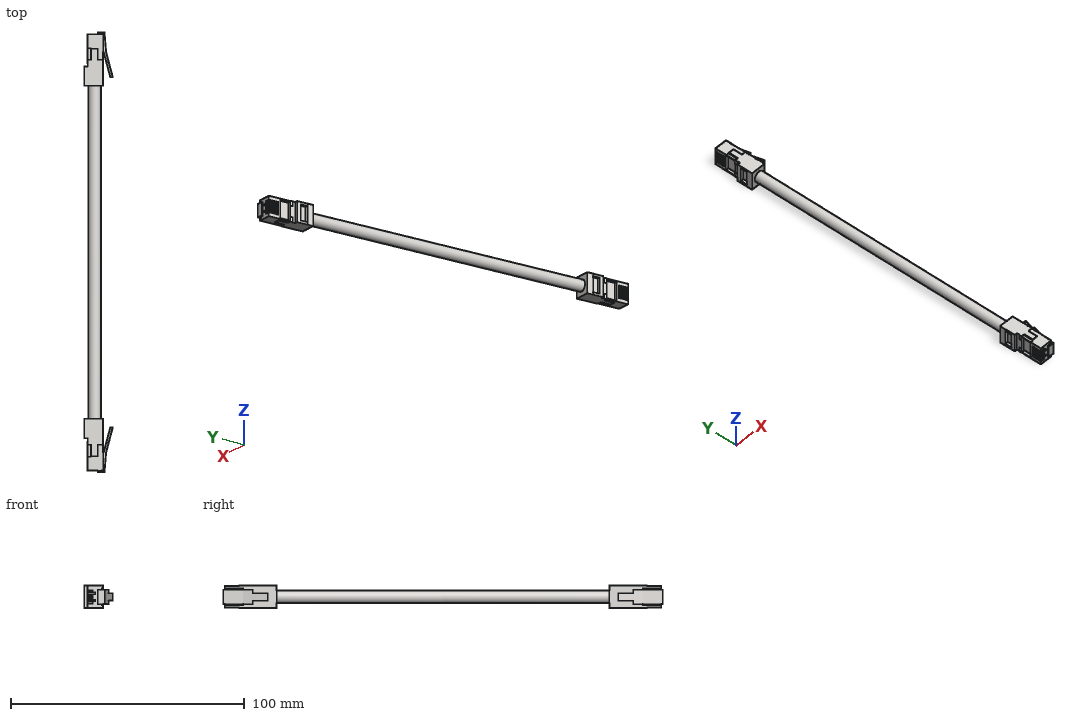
import cadquery as cq


cable_diameter = 5.5

tip_y = 94.08
front_y = 93.4
slot_rear_y = 88.6
clamp_front_y = 87.4
tongue_y = 87.2
sleeve_y = 82.3
groove_front_y = 81.0
hood_front_y = 79.6
window_front_y = 77.6
window_rear_y = 74.2
rear_y = 71.2

height = 9.68
hood_x = -4.5
front_x = -3.15
latch_face_x = 3.6
sleeve_step = 0.15
groove_depth = 0.15
hood_relief = 0.05

tongue_x_min = -1.4
tongue_x_max = 1.4

window_depth = 1.6
window_width = 7.4
clamp_depth = 1.6
clamp_width = 8.6
channel_width = 5.1

slot_pitch = 1.02
slot_width = 0.7
slot_floor_x = -0.9
deep_slot_floor_x = 0.3
slot_floors = [slot_floor_x, deep_slot_floor_x, slot_floor_x]

nose_x = 1.3
latch_width = 6.2
tab_width = 3.2
latch_seat_width = 7.4
latch_seat_x = 3.1
latch_tip_x = 4.27
latch_bend_x = 5.0
latch_bend_y = 85.5
latch_step_y = 81.4
latch_end_x = 7.82
latch_end_y = 74.9
latch_thickness = 1.15


def block(x_min, x_max, y_min, y_max, width):
    """Box between the given X and Y limits, centred on Z = 0."""
    box = cq.Workplane("XY").box(x_max - x_min, y_max - y_min, width, centered=(False, False, True))
    return box.translate((x_min, y_min, 0))


def plate(points, width):
    """Plate with the given XY outline, centred on Z = 0."""
    return cq.Workplane("XY").polyline(points).close().extrude(width / 2, both=True)


def make_body():
    """Front housing inside the slightly wider rear sleeve, with the hood on the underside."""
    front = block(front_x, latch_face_x, rear_y, front_y, height - 2 * sleeve_step)
    sleeve = block(front_x, latch_face_x, rear_y, sleeve_y, height)
    tongues = block(tongue_x_min, tongue_x_max, rear_y, tongue_y, height)
    hood = block(hood_x, latch_face_x, rear_y, hood_front_y, height)
    hood = hood.cut(block(hood_x, hood_x + hood_relief, window_rear_y, hood_front_y, height))
    return front.union(sleeve).union(tongues).union(hood)


def make_underside_recesses():
    """Cross groove, wire channel, clamping window and hood window."""
    floor_x = front_x + groove_depth
    under_groove = block(front_x, floor_x, hood_front_y, groove_front_y, height)
    channel = block(front_x, floor_x, groove_front_y, sleeve_y, channel_width)
    clamp = block(front_x, front_x + clamp_depth, sleeve_y, clamp_front_y, clamp_width)
    window = block(hood_x, hood_x + window_depth, window_rear_y, window_front_y, window_width)
    return under_groove.union(channel).union(clamp).union(window)


def cut_contact_slots(housing):
    """Six slots open to the underside and the front, in mirrored halves of three."""
    for side in (-1, 1):
        for index, floor_x in enumerate(slot_floors):
            z = side * (len(slot_floors) - index - 0.5) * slot_pitch
            slot = block(front_x, floor_x, slot_rear_y, front_y, slot_width)
            housing = housing.cut(slot.translate((0, 0, z)))
    return housing


def make_latch():
    """Nose on the front face, tapered root, bent arm and the narrow tab at its free end."""
    slope = (latch_end_x - latch_bend_x) / (latch_bend_y - latch_end_y)
    step_x = latch_bend_x + slope * (latch_bend_y - latch_step_y)
    nose = block(nose_x, latch_tip_x, front_y, tip_y, latch_width)
    root = plate(
        [
            (latch_seat_x, latch_bend_y),
            (latch_bend_x, latch_bend_y),
            (latch_tip_x, tip_y),
            (latch_seat_x, tip_y),
        ],
        latch_width,
    )
    arm = plate(
        [
            (latch_bend_x, latch_bend_y),
            (latch_bend_x - latch_thickness, latch_bend_y),
            (step_x - latch_thickness, latch_step_y),
            (step_x, latch_step_y),
        ],
        latch_width,
    )
    tab = plate(
        [
            (step_x, latch_step_y),
            (step_x - latch_thickness, latch_step_y),
            (latch_end_x - latch_thickness, latch_end_y),
            (latch_end_x, latch_end_y),
        ],
        tab_width,
    )
    return nose.union(root).union(arm).union(tab)


def make_plug():
    latch_seat = block(latch_seat_x, latch_face_x, latch_bend_y, front_y, latch_seat_width)
    housing = make_body().cut(make_underside_recesses()).cut(latch_seat)
    return cut_contact_slots(housing).union(make_latch())


far_plug = make_plug()
near_plug = far_plug.mirror("XZ")
cable = cq.Workplane("XZ").circle(cable_diameter / 2).extrude(rear_y, both=True)

result = cq.Compound.makeCompound([cable.val(), near_plug.val(), far_plug.val()])